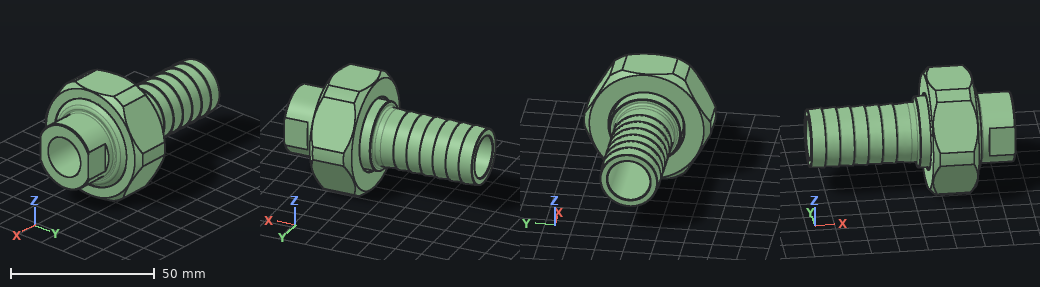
import cadquery as cq
import math

LENGTH = 71.5

TAIL_BORE_D = 15.0
BORE_CHAMFER = 0.3
BARB_CREST_D = 21.0
BARB_ROOT_D = 20.2
BARB_PITCH = 5.0
BARB_COUNT = 7
ROOT_LAND = 0.4
TIP_CHAMFER = 0.2
NECK_END_X = 37.9
NECK_FILLET = 0.8
COLLAR_D = 25.0
COLLAR_CHAMFER = 0.25
FLANGE_D = 30.3
FLANGE_LENGTH = 2.85

NUT_START_X = 41.5
NUT_LENGTH = 16.0
NUT_ACROSS_FLATS = 41.0
NUT_TURNED_D = 44.7
NUT_LEFT_CHAMFER = 2.15
NUT_RIGHT_CHAMFER = 2.0
NUT_HOLE_D = 26.5
NUT_HOLE_CHAMFER = 0.3
NUT_SHOULDER = 3.0
THREAD_D = 33.1

SPIGOT_BORE_D = 14.95
CONE_END_X = 58.8
CONE_END_D = 29.5
SHOULDER_ROUND_R = 1.9
SPIGOT_D = 24.5
SPIGOT_FILLET = 0.6
SPIGOT_CHAMFER = 0.35
WRENCH_ACROSS_FLATS = 22.0
WRENCH_START_X = 62.5
WRENCH_RUNOUT = 0.4

NUT_END_X = NUT_START_X + NUT_LENGTH
FLANGE_START_X = NUT_START_X + NUT_SHOULDER
FLANGE_END_X = FLANGE_START_X + FLANGE_LENGTH


def revolve_about_x(profile):
    """Revolve an (axial position, radius) profile about the X axis."""
    return profile.close().revolve(360, (0, 0, 0), (1, 0, 0))


def make_hose_tail():
    bore_r = TAIL_BORE_D / 2
    root_r = BARB_ROOT_D / 2
    crest_r = BARB_CREST_D / 2
    collar_r = COLLAR_D / 2
    flange_r = FLANGE_D / 2

    profile = (
        cq.Workplane("XY")
        .moveTo(BORE_CHAMFER, bore_r)
        .lineTo(0, bore_r + BORE_CHAMFER)
        .lineTo(0, root_r - TIP_CHAMFER)
        .lineTo(TIP_CHAMFER, root_r)
    )
    for barb in range(1, BARB_COUNT):
        crest_x = barb * BARB_PITCH
        profile = (
            profile.lineTo(crest_x, crest_r)
            .lineTo(crest_x, root_r)
            .lineTo(crest_x + ROOT_LAND, root_r)
        )
    fillet_mid_x = NECK_END_X - NECK_FILLET * (1 - math.sin(math.pi / 4))
    fillet_mid_r = crest_r + NECK_FILLET * (1 - math.cos(math.pi / 4))
    profile = (
        profile.lineTo(BARB_COUNT * BARB_PITCH, crest_r)
        .lineTo(NECK_END_X - NECK_FILLET, crest_r)
        .threePointArc((fillet_mid_x, fillet_mid_r), (NECK_END_X, crest_r + NECK_FILLET))
        .lineTo(NECK_END_X, collar_r - COLLAR_CHAMFER)
        .lineTo(NECK_END_X + COLLAR_CHAMFER, collar_r)
        .lineTo(FLANGE_START_X, collar_r)
        .lineTo(FLANGE_START_X, flange_r)
        .lineTo(FLANGE_END_X, flange_r)
        .lineTo(FLANGE_END_X, bore_r)
    )
    return revolve_about_x(profile)


def make_nut():
    turned_r = NUT_TURNED_D / 2
    hole_r = NUT_HOLE_D / 2
    thread_r = THREAD_D / 2

    hexagon = (
        cq.Workplane("YZ", origin=(NUT_START_X, 0, 0))
        .polygon(6, NUT_ACROSS_FLATS / math.cos(math.pi / 6))
        .extrude(NUT_LENGTH)
    )
    turned_ring = revolve_about_x(
        cq.Workplane("XY")
        .moveTo(NUT_START_X, hole_r + NUT_HOLE_CHAMFER)
        .lineTo(NUT_START_X, turned_r - NUT_LEFT_CHAMFER)
        .lineTo(NUT_START_X + NUT_LEFT_CHAMFER, turned_r)
        .lineTo(NUT_END_X - NUT_RIGHT_CHAMFER, turned_r)
        .lineTo(NUT_END_X, turned_r - NUT_RIGHT_CHAMFER)
        .lineTo(NUT_END_X, thread_r)
        .lineTo(FLANGE_START_X, thread_r)
        .lineTo(FLANGE_START_X, hole_r)
        .lineTo(NUT_START_X + NUT_HOLE_CHAMFER, hole_r)
    )
    return hexagon.intersect(turned_ring)


def make_wrench_cutter():
    """Cutter for the flat on the +Y side, with a sloped closed end."""
    flat_y = WRENCH_ACROSS_FLATS / 2
    outer_y = SPIGOT_D / 2
    return (
        cq.Workplane("XY")
        .moveTo(WRENCH_START_X, flat_y)
        .lineTo(WRENCH_START_X - WRENCH_RUNOUT, outer_y)
        .lineTo(LENGTH, outer_y)
        .lineTo(LENGTH, flat_y)
        .close()
        .extrude(SPIGOT_D / 2, both=True)
    )


def make_spigot():
    bore_r = SPIGOT_BORE_D / 2
    thread_r = THREAD_D / 2
    cone_end_r = CONE_END_D / 2
    spigot_r = SPIGOT_D / 2
    cone_start_x = CONE_END_X - (thread_r - cone_end_r)

    round_center_x = CONE_END_X - SHOULDER_ROUND_R * math.cos(math.pi / 4)
    round_center_r = cone_end_r - SHOULDER_ROUND_R * math.sin(math.pi / 4)
    shoulder_x = round_center_x + SHOULDER_ROUND_R
    round_mid = (
        round_center_x + SHOULDER_ROUND_R * math.cos(math.pi / 8),
        round_center_r + SHOULDER_ROUND_R * math.sin(math.pi / 8),
    )
    fillet_mid = (
        shoulder_x + SPIGOT_FILLET * (1 - math.cos(math.pi / 4)),
        spigot_r + SPIGOT_FILLET * (1 - math.sin(math.pi / 4)),
    )
    spigot = revolve_about_x(
        cq.Workplane("XY")
        .moveTo(FLANGE_END_X, bore_r)
        .lineTo(FLANGE_END_X, thread_r)
        .lineTo(cone_start_x, thread_r)
        .lineTo(CONE_END_X, cone_end_r)
        .threePointArc(round_mid, (shoulder_x, round_center_r))
        .lineTo(shoulder_x, spigot_r + SPIGOT_FILLET)
        .threePointArc(fillet_mid, (shoulder_x + SPIGOT_FILLET, spigot_r))
        .lineTo(LENGTH - SPIGOT_CHAMFER, spigot_r)
        .lineTo(LENGTH, spigot_r - SPIGOT_CHAMFER)
        .lineTo(LENGTH, bore_r)
    )
    cutter = make_wrench_cutter()
    return spigot.cut(cutter).cut(cutter.mirror("XZ"))


hose_tail = make_hose_tail()
nut = make_nut()
spigot = make_spigot()

result = cq.Compound.makeCompound([hose_tail.val(), nut.solids().val(), spigot.solids().val()])